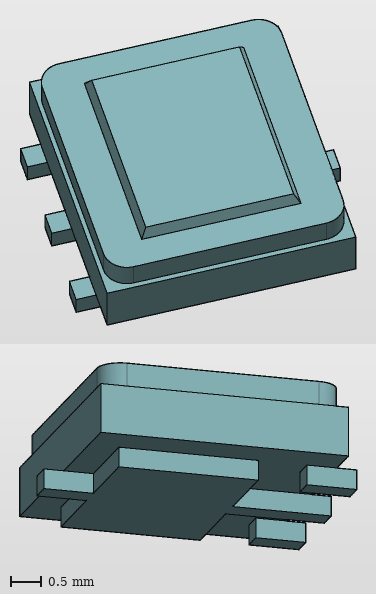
import cadquery as cq

overall_length = 4.93
body_width = 4.6
body_length = 4.25
body_height = 0.845

lead_width = 0.4
lead_pitch = 1.445
lead_thickness = 0.34
outer_lead_length = 0.86
tab_width = 2 * lead_pitch + lead_width
tab_front_y = -0.775
tab_back_y = 1.615

lid_width = 4.42
lid_length = 4.09
lid_height = 0.43
lid_corner_radius = 0.4

panel_width = 3.395
panel_length = 2.72
panel_height = 0.17
panel_inset = 0.1

body_bottom = lead_thickness
lid_bottom = body_bottom + body_height
panel_bottom = lid_bottom + lid_height
front_y = -overall_length / 2


def flat_bar(center_x, width, start_y, length):
    """Bar in the lead plane, running in +Y from start_y."""
    return cq.Workplane("XY").box(
        width, length, lead_thickness, centered=(True, False, False)
    ).translate((center_x, start_y, 0))


def make_leads():
    leads = flat_bar(0, lead_width, front_y, overall_length)
    leads = leads.union(flat_bar(0, tab_width, tab_front_y, tab_back_y - tab_front_y))
    for side in (-1, 1):
        leads = leads.union(flat_bar(side * lead_pitch, lead_width, front_y, outer_lead_length))
    return leads


def make_body():
    return (
        cq.Workplane("XY", origin=(0, 0, body_bottom))
        .rect(body_width, body_length)
        .extrude(body_height)
    )


def make_lid():
    return (
        cq.Workplane("XY", origin=(0, 0, lid_bottom))
        .rect(lid_width, lid_length)
        .extrude(lid_height)
        .edges("|Z")
        .fillet(lid_corner_radius)
    )


def make_panel():
    return (
        cq.Workplane("XY", origin=(0, 0, panel_bottom))
        .rect(panel_width, panel_length)
        .workplane(offset=panel_height)
        .rect(panel_width - 2 * panel_inset, panel_length - 2 * panel_inset)
        .loft(ruled=True)
    )


result = make_leads().union(make_body()).union(make_lid()).union(make_panel())